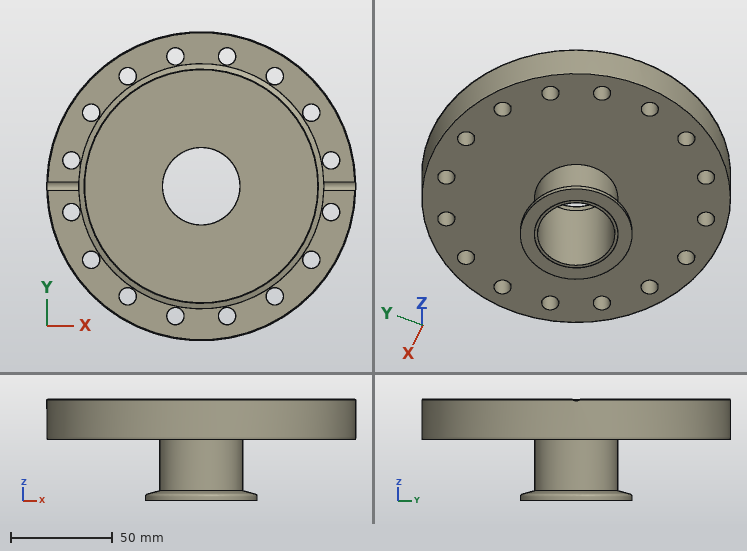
import cadquery as cq
import math

total_height = 50.0
bore_diameter = 38.0

flange_diameter = 152.0
flange_thickness = 20.0
top_chamfer = 0.5
bottom_chamfer_height = 0.8
bottom_chamfer_width = 0.2
gasket_recess_diameter = 120.6
gasket_recess_depth = 1.35
knife_tip_diameter = 115.3
knife_tip_depth = 0.4
center_face_depth = 1.1
center_face_diameter = 114.6
bolt_count = 16
bolt_circle_diameter = 130.2
bolt_hole_diameter = 8.4

groove_width = 4.3
groove_depth = 1.0
groove_overlap = 0.2

tube_diameter = 41.0
tube_top_below_center_face = 3.4

clamp_diameter = 55.0
clamp_bore_diameter = 41.2
clamp_rim_height = 3.0
clamp_taper_angle = 15.0
clamp_edge_radius = 1.4

flange_bottom = total_height - flange_thickness
center_face_z = total_height - center_face_depth
tube_top = center_face_z - tube_top_below_center_face
flange_radius = flange_diameter / 2
bore_radius = bore_diameter / 2
tube_radius = tube_diameter / 2
clamp_radius = clamp_diameter / 2
clamp_bore_radius = clamp_bore_diameter / 2


def revolve_profile(points):
    """Revolve a closed (radius, height) outline around the Z axis."""
    return cq.Workplane("XZ").polyline(points).close().revolve(360, (0, 0, 0), (0, 1, 0))


def make_bolt_holes():
    half_pitch = 180.0 / bolt_count
    return (
        cq.Workplane("XY")
        .workplane(offset=flange_bottom)
        .polarArray(bolt_circle_diameter / 2, half_pitch, 360, bolt_count)
        .circle(bolt_hole_diameter / 2)
        .extrude(flange_thickness)
    )


def make_leak_groove(side):
    """Round-bottomed radial groove from the gasket recess to the rim; side is +1 or -1 along X."""
    groove_radius = ((groove_width / 2) ** 2 + groove_depth**2) / (2 * groove_depth)
    start = gasket_recess_diameter / 2 - groove_overlap
    return (
        cq.Workplane("YZ")
        .workplane(offset=side * start)
        .center(0, total_height - groove_depth + groove_radius)
        .circle(groove_radius)
        .extrude(side * (flange_radius - start))
    )


def make_knife_flange():
    recess_radius = gasket_recess_diameter / 2
    tip_radius = knife_tip_diameter / 2
    body = revolve_profile([
        (tube_radius, flange_bottom),
        (flange_radius - bottom_chamfer_width, flange_bottom),
        (flange_radius, flange_bottom + bottom_chamfer_height),
        (flange_radius, total_height - top_chamfer),
        (flange_radius - top_chamfer, total_height),
        (recess_radius, total_height),
        (recess_radius, total_height - gasket_recess_depth),
        (tip_radius, total_height - knife_tip_depth),
        (center_face_diameter / 2, center_face_z),
        (bore_radius, center_face_z),
        (bore_radius, tube_top),
        (tube_radius, tube_top),
    ])
    body = body.cut(make_bolt_holes())
    for side in (-1, 1):
        body = body.cut(make_leak_groove(side))
    return body


def make_tube():
    return cq.Workplane("XY").circle(tube_radius).circle(bore_radius).extrude(tube_top)


def make_clamp_flange():
    taper_rise = (clamp_radius - clamp_bore_radius) * math.tan(math.radians(clamp_taper_angle))
    body = revolve_profile([
        (clamp_bore_radius, 0),
        (clamp_radius, 0),
        (clamp_radius, clamp_rim_height),
        (clamp_bore_radius, clamp_rim_height + taper_rise),
    ])
    outermost = cq.selectors.RadiusNthSelector(-1)
    return body.edges("%CIRCLE").edges(outermost).edges(">Z").fillet(clamp_edge_radius)


knife_flange = make_knife_flange()
tube = make_tube()
clamp_flange = make_clamp_flange()

result = cq.Compound.makeCompound([knife_flange.val(), tube.val(), clamp_flange.val()])